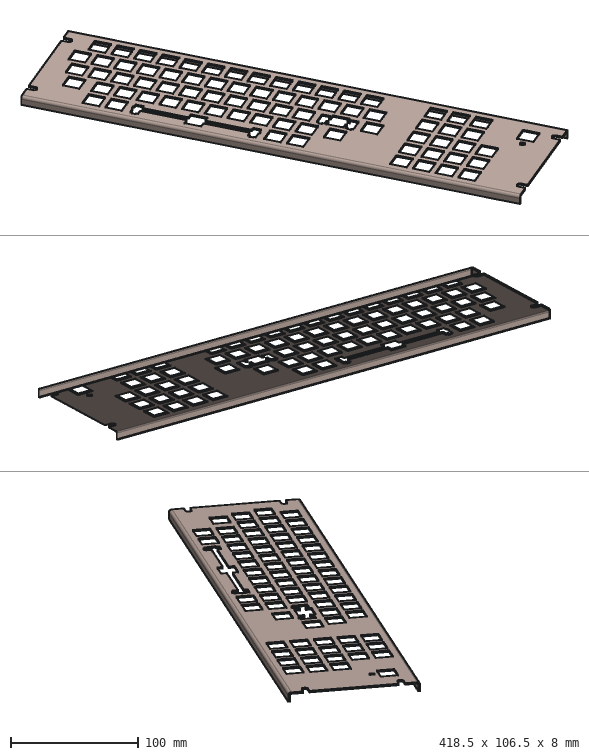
import cadquery as cq

length = 418.5
width = 106.5
height = 8.0
thickness = 1.5
bend_radius = 2.5
inner_bend_radius = bend_radius - thickness

top_row_keys = 13
top_row_span = 228.5
pitch = top_row_span / (top_row_keys - 1)
web_width = 5.0
key_size = pitch - web_width

home_row_first_x = -182.5
home_row_shift = -0.25
column_zero_x = home_row_first_x - home_row_shift * pitch
numpad_first_x = 104.3

enter_column = 11.25
space_column = 5.75
main_key_runs = {
    2: [(0, top_row_keys)],
    1: [(-0.5, 14)],
    0: [(home_row_shift, 11), (enter_column, 1), (12.75, 1)],
    -1: [(0, 1), (1.25, 10), (11.5, 1)],
    -2: [(1.25, 2), (space_column, 1), (9.25, 2)],
}
numpad_keys_per_row = {2: 3, 1: 3, 0: 4, -1: 4, -2: 4}

enter_stabilizer_offset = 12.0
space_stabilizer_offset = 49.5
stabilizer_width = 6.5
stabilizer_top = 5.5
stabilizer_bottom = -6.5
foot_width = 3.05
foot_bottom = -8.0
wire_slot_height = 4.5
wire_notch_depth = 1.0
wire_notch_height = 2.8

power_key_x = 184.0
power_key_y = 32.5
light_y = 20.0
light_diameter = 4.0

slot_depth = 8.0
slot_width = 5.0
slot_y = 38.5


def column_x(column):
    return column_zero_x + column * pitch


def row_y(row):
    return row * pitch


def sheet_block(block_width, block_height, edge_radius):
    """Full-length block standing on Z = 0 with its two long top edges rounded."""
    block = cq.Workplane("XY").box(length, block_width, block_height, centered=(True, True, False))
    return block.edges("|X and >Z").fillet(edge_radius)


def make_sheet():
    outside = sheet_block(width, height, bend_radius)
    inside = sheet_block(width - 2 * thickness, height - thickness, inner_bend_radius)
    return outside.cut(inside)


def rectangle_cutter(x_min, x_max, y_min, y_max):
    """Block through the whole sheet, given by its sides in plan."""
    block = cq.Workplane("XY").box(x_max - x_min, y_max - y_min, height, centered=False)
    return block.translate((x_min, y_min, 0))


def key_centers():
    centers = [(power_key_x, power_key_y)]
    for row, runs in main_key_runs.items():
        for first_column, count in runs:
            centers += [(column_x(first_column + step), row_y(row)) for step in range(count)]
    for row, count in numpad_keys_per_row.items():
        centers += [(numpad_first_x + step * pitch, row_y(row)) for step in range(count)]
    return centers


def cut_keys(sheet):
    cutter = cq.Workplane("XY").pushPoints(key_centers()).rect(key_size, key_size).extrude(height)
    return sheet.cut(cutter)


def cut_stabilizer(sheet, key_x, key_y, offset, has_wire_notch):
    """Two footed openings either side of a wide key, joined by a slot for the wire."""
    wire_top = key_y + wire_slot_height / 2
    wire_bottom = key_y - wire_slot_height / 2
    half_width = stabilizer_width / 2
    half_foot = foot_width / 2
    top = key_y + stabilizer_top
    bottom = key_y + stabilizer_bottom
    foot_end = key_y + foot_bottom
    sheet = sheet.cut(rectangle_cutter(key_x - offset, key_x + offset, wire_bottom, wire_top))
    for side in (-1, 1):
        center = key_x + side * offset
        sheet = sheet.cut(rectangle_cutter(center - half_width, center + half_width, bottom, top))
        sheet = sheet.cut(rectangle_cutter(center - half_foot, center + half_foot, foot_end, key_y))
        if has_wire_notch:
            notch_end = center + side * (half_width + wire_notch_depth)
            x_min, x_max = sorted((center, notch_end))
            sheet = sheet.cut(rectangle_cutter(x_min, x_max, wire_top - wire_notch_height, wire_top))
    return sheet


def cut_light_hole(sheet):
    cutter = cq.Workplane("XY").center(power_key_x, light_y).circle(light_diameter / 2).extrude(height)
    return sheet.cut(cutter)


def cut_mounting_slots(sheet):
    """Round-ended slots running in from the short edges."""
    centers = [(x, y) for x in (-length / 2, length / 2) for y in (-slot_y, slot_y)]
    cutter = cq.Workplane("XY").pushPoints(centers).slot2D(2 * slot_depth, slot_width).extrude(height)
    return sheet.cut(cutter)


result = make_sheet()
result = cut_keys(result)
result = cut_stabilizer(result, column_x(enter_column), row_y(0), enter_stabilizer_offset, False)
result = cut_stabilizer(result, column_x(space_column), row_y(-2), space_stabilizer_offset, True)
result = cut_light_hole(result)
result = cut_mounting_slots(result)